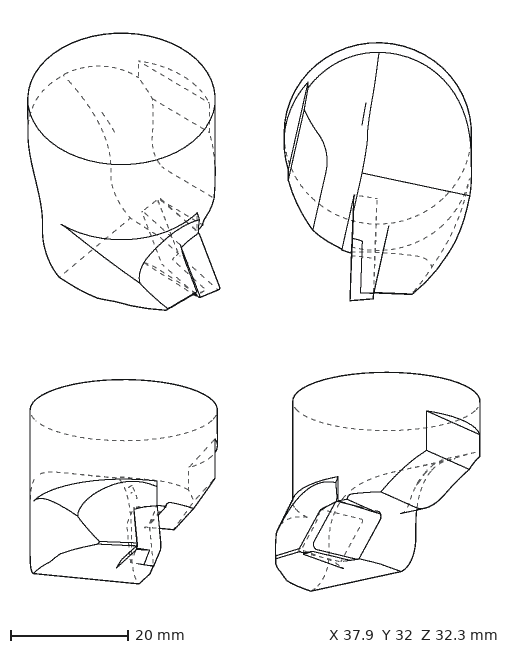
import cadquery as cq
import math

SHANK_RADIUS = 32.0 / 2
BOUND = 45.45

TIP_X = 37.87 - SHANK_RADIUS
TIP_Y = 0.08
TOTAL_HEIGHT = 32.3
INSERT_TURN = 10.0
INSERT_ANGLE = 55.0
INSERT_EDGE = 11.63
INSERT_THICKNESS = 3.98
INSERT_NOSE = 0.8
INSERT_RELIEF = 7.0
LEAD_ANGLE = 3.0

RAKE_Y = 2.85
REAR_FLAT_Y = 13.9
REAR_FLAT_TOP = -6.45
REAR_FLAT_BOTTOM = -13.52
REAR_SLANT_Y = 8.37
REAR_BOTTOM = -21.47
REAR_FILLET = 0.87

GULLET_X = -4.77
GULLET_RADIUS = 15.15
GULLET_Z = -21.3
HEEL_TOP = -23.48
HEEL_X = -0.4
HEEL_Z = -30.98
REAR_GULLET_RADIUS = 19.7
REAR_GULLET_CENTER = (-20.3, -25.7)
REAR_HEEL_TOP = -18.03

FLARE_TOP = -18.0
FLARE_ANGLE = 25.0
FLARE_FLAT = 1.63
HEAD_RADIUS = 27.08
HEAD_REACH = 22.72

NOTCH_FOOT = (-1.35, -30.9)
NOTCH_CHAMFER = (-1.6, -31.35)
NOTCH_ARC_START = (-4.45, -25.9)
NOTCH_ARC_END = (-5.6, -20.68)
NOTCH_TOP_X = -5.25

CLEARANCE_START_X = 7.57
CLEARANCE_FULL_X = 10.6
CLEARANCE_Z = -30.9
CLEARANCE_BACK_Y = -3.6


def insert_plane(offset=0.0):
    """Plane parallel to the rake face: x along the insert, y up, normal into its thickness."""
    turn = math.radians(INSERT_TURN)
    normal = cq.Vector(-math.sin(turn), -math.cos(turn), 0)
    origin = cq.Vector(TIP_X, TIP_Y, 0) + normal * offset
    return cq.Plane(origin=origin, xDir=(math.cos(turn), -math.sin(turn), 0), normal=normal)


def make_insert():
    bisector = math.radians(180 - LEAD_ANGLE - INSERT_ANGLE / 2)
    setback = INSERT_NOSE / math.sin(math.radians(INSERT_ANGLE / 2))
    tip = cq.Vector(-INSERT_NOSE, INSERT_NOSE - TOTAL_HEIGHT)
    tip -= cq.Vector(math.cos(bisector), math.sin(bisector)) * setback
    lower_angle = math.radians(180 - LEAD_ANGLE)
    upper_angle = lower_angle - math.radians(INSERT_ANGLE)
    lower = cq.Vector(math.cos(lower_angle), math.sin(lower_angle)) * INSERT_EDGE
    upper = cq.Vector(math.cos(upper_angle), math.sin(upper_angle)) * INSERT_EDGE
    corners = [tip, tip + upper, tip + upper + lower, tip + lower]
    outline = cq.Sketch().polygon([(p.x, p.y) for p in corners + [tip]]).vertices().fillet(INSERT_NOSE)
    return cq.Workplane(insert_plane()).placeSketch(outline).extrude(INSERT_THICKNESS, taper=INSERT_RELIEF)


def lower_edge_z(x):
    """Height of the sloping underside of the head."""
    return HEEL_Z - (x - HEEL_X) * math.tan(math.radians(LEAD_ANGLE))


def make_shank():
    return cq.Workplane("XY").circle(SHANK_RADIUS).extrude(-TOTAL_HEIGHT)


def make_flare():
    """Cone growing downwards, limited by the flat and the large-radius front wall."""
    depth = TOTAL_HEIGHT + FLARE_TOP
    bottom_radius = SHANK_RADIUS + depth * math.tan(math.radians(FLARE_ANGLE))
    cone = (
        cq.Workplane("XZ")
        .polyline([(0, FLARE_TOP), (SHANK_RADIUS, FLARE_TOP), (bottom_radius, -TOTAL_HEIGHT), (0, -TOTAL_HEIGHT)])
        .close()
        .revolve(360, (0, 0, 0), (0, 1, 0))
    )
    sweep = math.asin((HEAD_REACH - FLARE_FLAT) / HEAD_RADIUS)
    center_y = HEAD_RADIUS - SHANK_RADIUS
    arc = [
        (FLARE_FLAT + HEAD_RADIUS * math.sin(a), center_y - HEAD_RADIUS * math.cos(a))
        for a in (sweep / 2, sweep)
    ]
    rake_slope = math.tan(math.radians(INSERT_TURN))
    outline = (
        cq.Workplane("XY")
        .moveTo(0, -SHANK_RADIUS)
        .lineTo(FLARE_FLAT, -SHANK_RADIUS)
        .threePointArc(*arc)
        .lineTo(HEAD_REACH, TIP_Y - (HEAD_REACH - TIP_X) * rake_slope)
        .lineTo(TIP_X - (RAKE_Y - TIP_Y) / rake_slope, RAKE_Y)
        .lineTo(0, RAKE_Y)
        .close()
        .extrude(-TOTAL_HEIGHT)
    )
    return cone.intersect(outline)


def rear_cut():
    """Everything behind the rear flat and its slant."""
    return (
        cq.Workplane("YZ", origin=(-BOUND, 0, 0))
        .moveTo(BOUND, REAR_FLAT_TOP)
        .lineTo(REAR_FLAT_Y, REAR_FLAT_TOP)
        .lineTo(REAR_FLAT_Y, REAR_FLAT_BOTTOM)
        .lineTo(REAR_SLANT_Y, REAR_BOTTOM)
        .lineTo(REAR_SLANT_Y, -BOUND)
        .lineTo(BOUND, -BOUND)
        .close()
        .extrude(2 * BOUND)
    )


def rake_cut():
    """Carries the rake face across the head below the rear underside."""
    return (
        cq.Workplane(insert_plane())
        .moveTo(-BOUND / 2, REAR_BOTTOM - REAR_FILLET)
        .lineTo(BOUND, REAR_BOTTOM - REAR_FILLET)
        .lineTo(BOUND, -BOUND)
        .lineTo(-BOUND / 2, -BOUND)
        .close()
        .extrude(-BOUND)
    )


def front_gullet_cut():
    """Concave relief, short upright, rounded heel and sloping underside, run past the rear fillet."""
    center_x = GULLET_X - GULLET_RADIUS
    start = (-SHANK_RADIUS, GULLET_Z + math.sqrt(GULLET_RADIUS**2 - (SHANK_RADIUS + center_x) ** 2))
    heel_run = HEEL_X - GULLET_X
    heel_radius = (heel_run**2 + (HEEL_TOP - HEEL_Z) ** 2) / (2 * heel_run)
    return (
        cq.Workplane("XZ", origin=(0, RAKE_Y + 2 * REAR_FILLET, 0))
        .moveTo(-BOUND, start[1])
        .lineTo(*start)
        .radiusArc((GULLET_X, GULLET_Z), GULLET_RADIUS)
        .lineTo(GULLET_X, HEEL_TOP)
        .radiusArc((HEEL_X, HEEL_Z), -heel_radius)
        .lineTo(BOUND, lower_edge_z(BOUND))
        .lineTo(BOUND, -BOUND)
        .lineTo(-BOUND, -BOUND)
        .close()
        .extrude(BOUND)
    )


def rear_gullet_cut():
    """Set-back gullet and rear underside, with a fillet where they meet the rake plane."""
    center_x, center_z = REAR_GULLET_CENTER
    tilt = math.asin((REAR_HEEL_TOP - center_z) / REAR_GULLET_RADIUS)
    arc_end_x = center_x + REAR_GULLET_RADIUS * math.cos(tilt)
    arc_top = center_z + REAR_GULLET_RADIUS
    heel_radius = (REAR_HEEL_TOP - REAR_BOTTOM) / (1 - math.sin(tilt))
    heel_end_x = arc_end_x + heel_radius * math.cos(tilt)
    void = (
        cq.Workplane("XZ", origin=(0, RAKE_Y, 0))
        .moveTo(center_x, arc_top)
        .radiusArc((arc_end_x, REAR_HEEL_TOP), REAR_GULLET_RADIUS)
        .radiusArc((heel_end_x, REAR_BOTTOM), -heel_radius)
        .lineTo(BOUND, REAR_BOTTOM)
        .lineTo(BOUND, -BOUND)
        .lineTo(center_x, -BOUND)
        .close()
        .extrude(-BOUND)
    )
    corner = cq.selectors.BoxSelector(
        (center_x + 0.38, RAKE_Y - 0.38, REAR_BOTTOM - 0.38), (BOUND, RAKE_Y + 0.38, arc_top)
    )
    return void.edges("<Y").edges(corner).fillet(REAR_FILLET)


def notch_cut():
    """Slanted end face of the head, chamfered at its foot, with a concave run-up to the shank."""
    return (
        cq.Workplane(insert_plane(-BOUND))
        .moveTo(NOTCH_CHAMFER[0], -BOUND)
        .lineTo(*NOTCH_CHAMFER)
        .lineTo(*NOTCH_FOOT)
        .lineTo(*NOTCH_ARC_START)
        .tangentArcPoint(NOTCH_ARC_END, relative=False)
        .lineTo(NOTCH_TOP_X, FLARE_TOP)
        .lineTo(BOUND, FLARE_TOP)
        .lineTo(BOUND, -BOUND)
        .close()
        .extrude(2 * BOUND)
    )


def clearance_cut():
    end_z = CLEARANCE_Z + lower_edge_z(HEAD_REACH) - lower_edge_z(CLEARANCE_FULL_X)
    return (
        cq.Workplane("XZ", origin=(0, CLEARANCE_BACK_Y, 0))
        .polyline([
            (CLEARANCE_START_X, lower_edge_z(CLEARANCE_START_X)),
            (CLEARANCE_FULL_X, CLEARANCE_Z),
            (HEAD_REACH, end_z),
            (HEAD_REACH, -BOUND),
            (CLEARANCE_START_X, -BOUND),
        ])
        .close()
        .extrude(BOUND)
    )


def make_holder(insert):
    holder = make_shank().union(make_flare())
    cutters = [
        rear_cut(), rake_cut(), front_gullet_cut(), rear_gullet_cut(), notch_cut(), clearance_cut(), insert,
    ]
    for cutter in cutters:
        holder = holder.cut(cutter)
    return holder


cutting_insert = make_insert()
holder = make_holder(cutting_insert)
result = cq.Compound.makeCompound([*holder.solids().vals(), *cutting_insert.solids().vals()])